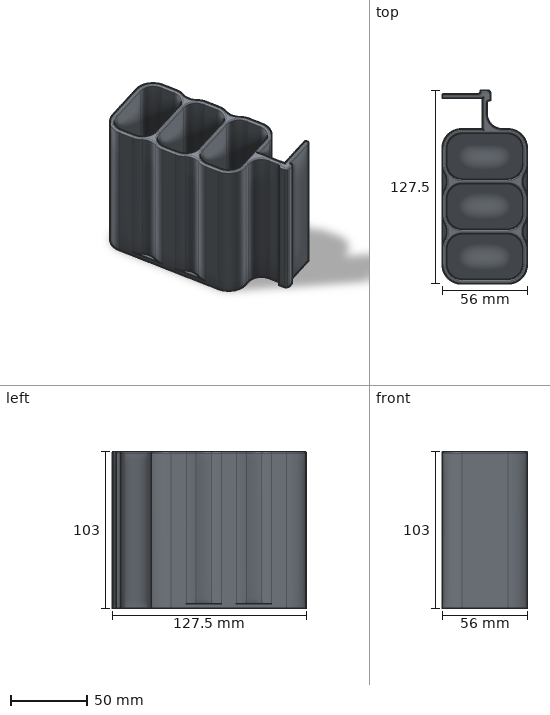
import cadquery as cq

CUP_COUNT = 3
WALL = 3.0
FLOOR = 3.0
HEIGHT = 103.0
CUP_WIDTH = 56.0
CUP_DEPTH = 36.0
CORNER_RADIUS = 13.0
VALLEY_RADIUS = 10.0
RIM_RADIUS = 1.0

HOOK_GAP = 20.0
HOOK_WALL = 3.0
ARM_TIP_RADIUS = 1.0
GUSSET_RADIUS = 10.0
BEAD_PROUD = 2.5
BEAD_OVERHANG = 1.5
BEAD_SHOULDER_RADIUS = 1.0

CUP_PITCH = CUP_DEPTH - WALL
BODY_DEPTH = CUP_PITCH * (CUP_COUNT - 1) + CUP_DEPTH
CUP_CENTERS = [CUP_DEPTH / 2 + i * CUP_PITCH for i in range(CUP_COUNT)]
VALLEY_CENTERS = [y + CUP_PITCH / 2 for y in CUP_CENTERS[:-1]]
STEM_LEFT = -HOOK_WALL / 2
STEM_RIGHT = HOOK_WALL / 2
ARM_FRONT = BODY_DEPTH + HOOK_GAP
ARM_BACK = ARM_FRONT + HOOK_WALL
ARM_TIP = -CUP_WIDTH / 2


def rounded_prism(width, depth, radius, center_y, bottom, top):
    """Prism with rounded vertical edges between the heights `bottom` and `top`."""
    outline = cq.Workplane("XY", origin=(0, center_y, bottom)).rect(width, depth)
    return outline.extrude(top - bottom).edges("|Z").fillet(radius)


def make_cup_row():
    """Solid row of cups with smooth valleys between them, standing on a straight-sided floor."""
    row = cq.Workplane("XY")
    for center_y in CUP_CENTERS:
        row = row.union(rounded_prism(CUP_WIDTH, CUP_DEPTH, CORNER_RADIUS, center_y, 0, HEIGHT))
    for center_y in VALLEY_CENTERS:
        crease = cq.selectors.BoxSelector(
            (-CUP_WIDTH, center_y - WALL, 0),
            (CUP_WIDTH, center_y + WALL, HEIGHT),
        )
        row = row.edges("|Z").edges(crease).fillet(VALLEY_RADIUS)
    floor = rounded_prism(CUP_WIDTH, BODY_DEPTH, CORNER_RADIUS, BODY_DEPTH / 2, 0, FLOOR)
    return row.union(floor)


def make_hook():
    """Hook as one outline: gusset, stem, bead and arm, with its root inside the cup wall."""
    root_y = BODY_DEPTH - WALL / 2
    gusset_end = STEM_RIGHT + GUSSET_RADIUS
    bead_left = STEM_LEFT - BEAD_OVERHANG
    bead_right = STEM_RIGHT + BEAD_PROUD
    bead_front = ARM_FRONT - BEAD_OVERHANG
    bead_back = ARM_BACK + BEAD_PROUD
    shoulder = BEAD_SHOULDER_RADIUS
    blend = BEAD_PROUD - shoulder
    tip = ARM_TIP_RADIUS
    return (
        cq.Workplane("XY")
        .moveTo(STEM_LEFT, ARM_FRONT)
        .lineTo(STEM_LEFT, root_y)
        .lineTo(gusset_end, root_y)
        .lineTo(gusset_end, BODY_DEPTH)
        .radiusArc((STEM_RIGHT, BODY_DEPTH + GUSSET_RADIUS), GUSSET_RADIUS)
        .lineTo(STEM_RIGHT, bead_front - blend)
        .radiusArc((STEM_RIGHT + blend, bead_front), blend)
        .radiusArc((bead_right, bead_front + shoulder), -shoulder)
        .lineTo(bead_right, ARM_BACK)
        .radiusArc((STEM_RIGHT, bead_back), -BEAD_PROUD)
        .lineTo(bead_left + shoulder, bead_back)
        .radiusArc((bead_left, bead_back - shoulder), -shoulder)
        .radiusArc((bead_left - blend, ARM_BACK), blend)
        .lineTo(ARM_TIP + tip, ARM_BACK)
        .radiusArc((ARM_TIP, ARM_BACK - tip), -tip)
        .lineTo(ARM_TIP, ARM_FRONT + tip)
        .radiusArc((ARM_TIP + tip, ARM_FRONT), -tip)
        .close()
        .extrude(HEIGHT)
    )


def make_holder():
    """Cups and hook joined and hollowed out, with the whole rim rounded."""
    body = make_cup_row().union(make_hook())
    cavity_size = (CUP_WIDTH - 2 * WALL, CUP_DEPTH - 2 * WALL, CORNER_RADIUS - WALL)
    for center_y in CUP_CENTERS:
        body = body.cut(rounded_prism(*cavity_size, center_y, FLOOR, HEIGHT))
    return body.faces(">Z").edges().fillet(RIM_RADIUS)


result = make_holder()